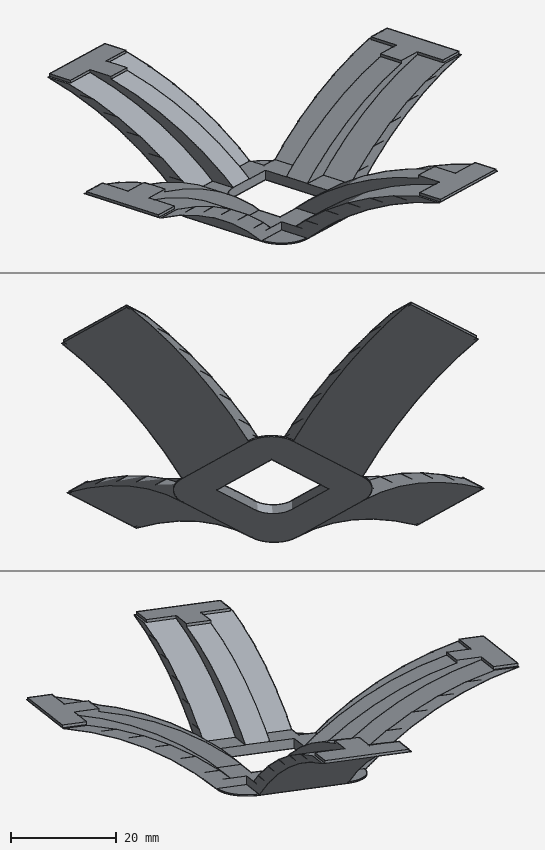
import cadquery as cq
import math

span = 93.24
height = 17.0

arm_width = 18.2
rib_width = 5.0
layer_run = 5.0
step_length = 6.0
step_angles = [40, 35, 30, 25, 20, 15]

plate_width = 17.2

notch_length = 3.0
notch_depth = 0.1

base_height = 2.0
brim_height = 0.3
brim_corner_radius = 6.0
window_size = 15.0
window_corner_radius = 5.0

step_runs = [step_length * math.cos(math.radians(angle)) for angle in step_angles]
step_rises = [step_length * math.sin(math.radians(angle)) for angle in step_angles]
foot_x = span / 2 - sum(step_runs)
joints = [(foot_x, 0.0)]
for run, rise in zip(step_runs, step_rises):
    last_x, last_z = joints[-1]
    joints.append((last_x + run, last_z + rise))
tip_x, tip_z = joints[-1]


def block(x_start, x_end, width, z_start, z_end):
    """Box running along X, centred on the X axis."""
    return (
        cq.Workplane("XY", origin=((x_start + x_end) / 2, 0, z_start))
        .rect(x_end - x_start, width)
        .extrude(z_end - z_start)
    )


def climbing_layer(depth_run, width):
    """Stepped band between the underside and the same line moved inwards by depth_run."""
    inner_line = [(x - depth_run, z) for x, z in reversed(joints)]
    return cq.Workplane("XZ").polyline(joints + inner_line).close().extrude(width / 2, both=True)


def make_tip_plate():
    """T-shaped plate: a wide head on the skin and a narrow tail on the rib."""
    head = block(tip_x - layer_run, tip_x, plate_width, tip_z, height)
    tail = block(tip_x - 2 * layer_run, tip_x, rib_width, tip_z, height)
    return head.union(tail)


def tetrahedron(corners):
    """Solid with the four given corners."""
    faces = []
    for skipped in range(len(corners)):
        triangle = [cq.Vector(*corner) for index, corner in enumerate(corners) if index != skipped]
        faces.append(cq.Face.makeFromWires(cq.Wire.makePolygon(triangle, close=True)))
    return cq.Workplane(obj=cq.Solid.makeSolid(cq.Shell.makeShell(faces)))


def step_notch(lower_joint, upper_joint):
    """Tapered cut on the +Y flank of one step, from nothing at its foot to full depth at its head."""
    lower_x, lower_z = lower_joint
    upper_x, upper_z = upper_joint
    flank_y = arm_width / 2
    foot = (lower_x - layer_run, flank_y, lower_z)
    head_inner = (upper_x - layer_run, flank_y, upper_z)
    head_deep = (upper_x - layer_run, flank_y - notch_depth, upper_z)
    head_outer = (upper_x - layer_run + notch_length, flank_y, upper_z)
    return tetrahedron([foot, head_inner, head_deep, head_outer])


def make_arm():
    arm = climbing_layer(layer_run, arm_width)
    for lower_joint, upper_joint in zip(joints[:-2], joints[1:-1]):
        notch = step_notch(lower_joint, upper_joint)
        arm = arm.cut(notch).cut(notch.mirror("XZ"))
    return arm.union(climbing_layer(2 * layer_run, rib_width)).union(make_tip_plate())


def make_base():
    """Rounded square brim carrying a thicker cross that joins the four arms."""
    brim = (
        cq.Workplane("XY")
        .rect(2 * foot_x, 2 * foot_x)
        .extrude(brim_height)
        .edges("|Z")
        .fillet(brim_corner_radius)
    )
    bar = block(-foot_x, foot_x, arm_width, 0, base_height)
    return brim.union(bar).union(bar.rotate((0, 0, 0), (0, 0, 1), 90))


def make_window():
    """Square opening through the base with one rounded corner, towards -X -Y."""
    return (
        cq.Workplane("XY")
        .rect(window_size, window_size)
        .extrude(height)
        .edges("|Z and <X and <Y")
        .fillet(window_corner_radius)
    )


result = make_base()
arm = make_arm()
for quarter in range(4):
    result = result.union(arm.rotate((0, 0, 0), (0, 0, 1), 90 * quarter))
result = result.cut(make_window()).solids()